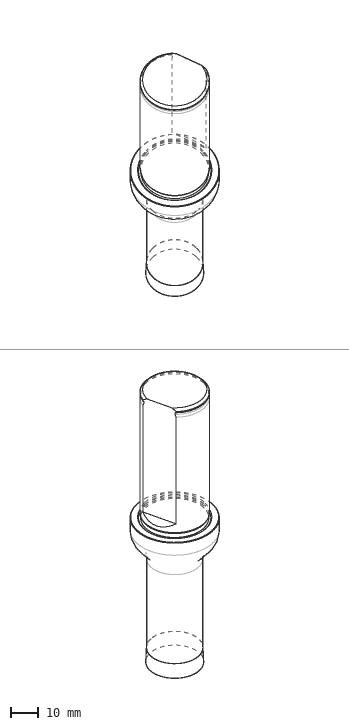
import cadquery as cq

total_height = 120.0
collar_top = 64.2
collar_bottom = 58.7
flare_bottom = 46.1
head_top = 7.2
point_height = 1.0

shank_radius = 25.0 / 2
neck_radius = 24.5 / 2
collar_radius = 32.0 / 2
body_radius = 20.2 / 2
collar_chamfer = 0.2

flare_mid_radius = 13.3
flare_mid_height = 52.7

top_face_radius = 11.5
rim_top = 119.0
rim_bottom = 118.7
groove_floor_top = 118.3
groove_floor_bottom = 117.6
groove_bottom = 116.5

shank_bottom = 66.1
neck_top = 65.5
relief_radius = 13.3
relief_floor_radius = 13.0
relief_depth = 0.4

flat_distance = 10.3
flat_bottom = 70.0

head_top_radius = 10.2
head_rim_radius = 10.5
head_tip_radius = 3.6


def make_shank_flat_cutter():
    """Prism that removes the flat and its 45 degree run-out ramp."""
    reach = collar_radius - flat_distance
    return (
        cq.Workplane("YZ")
        .moveTo(flat_distance, total_height)
        .lineTo(flat_distance, flat_bottom)
        .lineTo(flat_distance + reach, flat_bottom - reach)
        .lineTo(flat_distance + reach, total_height)
        .close()
        .extrude(collar_radius, both=True)
    )


def make_holder():
    """Shank, collar, flared transition and slender body, turned as one piece."""
    flare_points = [
        (flare_mid_radius, flare_mid_height),
        (collar_radius, collar_bottom),
    ]
    upward = (0, 1)

    turned = (
        cq.Workplane("XZ")
        .moveTo(0, head_top)
        .lineTo(body_radius, head_top)
        .lineTo(body_radius, flare_bottom)
        .spline(flare_points, tangents=[upward, upward], includeCurrent=True)
        .lineTo(collar_radius, collar_top - collar_chamfer)
        .lineTo(collar_radius - collar_chamfer, collar_top)
        .lineTo(relief_radius, collar_top)
        .lineTo(relief_floor_radius, collar_top - relief_depth)
        .lineTo(neck_radius, collar_top - relief_depth)
        .lineTo(neck_radius, neck_top)
        .lineTo(shank_radius, shank_bottom)
        .lineTo(shank_radius, groove_bottom)
        .lineTo(neck_radius, groove_floor_bottom)
        .lineTo(neck_radius, groove_floor_top)
        .lineTo(shank_radius, rim_bottom)
        .lineTo(shank_radius, rim_top)
        .lineTo(top_face_radius, total_height)
        .lineTo(0, total_height)
        .close()
        .revolve(360, (0, 0, 0), (0, 1, 0))
    )
    return turned.cut(make_shank_flat_cutter())


def make_cutting_head():
    """Tapered head with a shallow blunt cone underneath, seated on the end of the holder."""
    return (
        cq.Workplane("XZ")
        .lineTo(head_tip_radius, 0)
        .lineTo(head_rim_radius, point_height)
        .lineTo(head_top_radius, head_top)
        .lineTo(0, head_top)
        .close()
        .revolve(360, (0, 0, 0), (0, 1, 0))
    )


holder = make_holder()
cutting_head = make_cutting_head()

result = cq.Compound.makeCompound([holder.val(), cutting_head.val()])